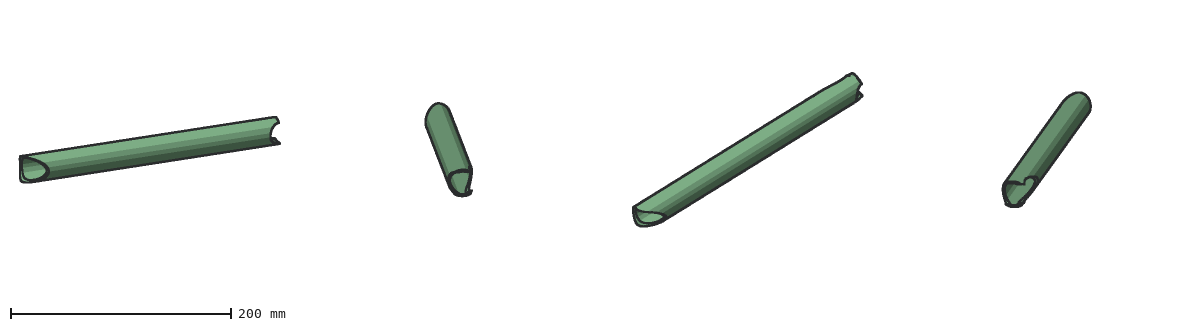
import cadquery as cq
import math

tube_radius = 12.51
wall = 2.0
heading = 60.0
rise = 2.2
axis_x = 3.0
upper_end = 119.8
lower_end = 139.0

lower_cope_radius = 14.0
lower_cope_heading = 8.0
lower_cope_x = -54.3
lower_cope_y = -97.5

upper_cope_radius = 10.0
square_cope_heading = heading - 90
slanted_cope_heading = 30.0
slanted_cope_rise = 2.2

cutter_length = 171.0


def direction(plan_angle, slope=0.0):
    """Unit vector at a plan angle from +X and a slope above the horizontal."""
    plan = math.radians(plan_angle)
    climb = math.radians(slope)
    return cq.Vector(
        math.cos(climb) * math.cos(plan),
        math.cos(climb) * math.sin(plan),
        math.sin(climb),
    )


tube_origin = cq.Vector(axis_x, 0, 0)
tube_direction = direction(heading, rise)
upper_node = tube_origin + tube_direction * upper_end


def tube_rod(radius):
    """Solid rod over the full stock length of the tube."""
    start = tube_origin - tube_direction * lower_end
    rod = cq.Solid.makeCylinder(radius, lower_end + upper_end, start, tube_direction)
    return cq.Workplane(rod)


def cope_cutter(radius, along, centre):
    """Long cylinder centred on a point."""
    start = centre - along * (cutter_length / 2)
    return cq.Workplane(cq.Solid.makeCylinder(radius, cutter_length, start, along))


def lower_cope_centre():
    """Point on the crossing axis, level with the tube axis beside it."""
    outward = direction(lower_cope_heading - 90)
    centre = cq.Vector(lower_cope_x, lower_cope_y, 0) + outward * lower_cope_radius
    plan_distance = (centre - tube_origin).dot(direction(heading))
    return centre + cq.Vector(0, 0, plan_distance * math.tan(math.radians(rise)))


tube = tube_rod(tube_radius).cut(tube_rod(tube_radius - wall))
tube = tube.cut(cope_cutter(lower_cope_radius, direction(lower_cope_heading), lower_cope_centre()))

upper_cope_directions = [
    direction(square_cope_heading),
    direction(slanted_cope_heading, slanted_cope_rise),
]
for cope_direction in upper_cope_directions:
    tube = tube.cut(cope_cutter(upper_cope_radius, cope_direction, upper_node))

result = cq.Workplane(max(tube.solids().vals(), key=lambda piece: piece.Volume()))